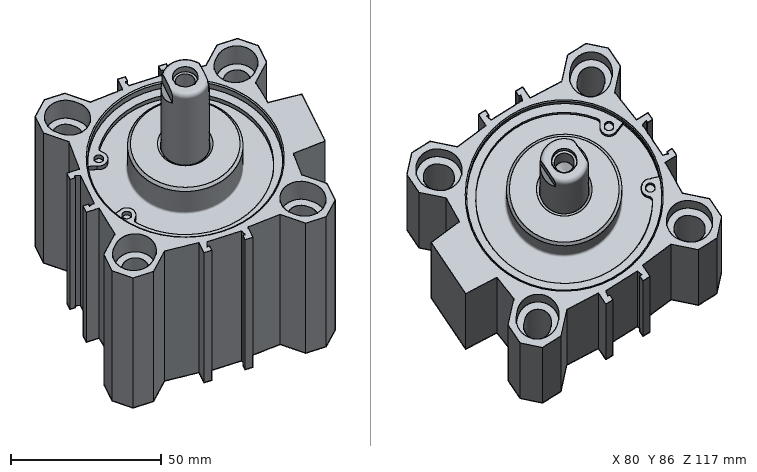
import cadquery as cq
import math

total_height = 117.0
housing_height = 72.0
housing_half_width = 40.0

lug_bevel = 5.4
lug_flat_end = 27.3
neck_depth = 6.5
wall_crown = 34.4

rail_pair_half_width = 8.8
rail_top = 39.0
rail_lip_height = 2.0
rail_lip_half_gap = 6.0
rail_undercut_half_gap = 6.8
rail_floor_half_gap = 6.2
rail_floor = 35.1

block_top = 46.0
block_top_half_width = 10.5
block_base_half_width = 11.5

mount_offset = 30.2
mount_stretch = 1.4
mount_hole_diameter = 9.0
mount_counterbore_diameter = 14.0
mount_counterbore_depth = 10.0

bore_diameter = 65.0
bore_chamfer = 0.5
groove_diameter = 68.2

ring_top = 68.8
ring_thickness = 2.0
ring_inner_diameter = 59.0
ear_x = 12.6
ear_y = -26.0
ear_radius = 3.0
ear_hole_diameter = 3.2
ear_blend_radius = 1.8

cover_thickness = 14.0
collar_diameter = 38.5
collar_top = 80.0
collar_chamfer = 1.0
collar_foot_radius = 0.8
cover_hole_diameter = 16.5

rod_diameter = 16.0
rod_edge_radius = 1.8
rod_flat_width = 13.0
rod_flat_length = 5.5
rod_hole_diameter = 6.7
rod_hole_depth = 14.0
rod_hole_tip_angle = 118.0
rod_counterbore_diameter = 8.4
rod_counterbore_depth = 2.8

ring_bottom = ring_top - ring_thickness
cover_bottom = ring_bottom - cover_thickness


def disc(diameter, bottom, top):
    """Solid cylinder on the Z axis between two heights."""
    return cq.Workplane("XY").workplane(offset=bottom).circle(diameter / 2).extrude(top - bottom)


def turned(profile):
    """Solid of revolution about the Z axis from (radius, height) points."""
    return cq.Workplane("XZ").polyline(profile).close().revolve(360, (0, 0, 0), (0, 1, 0))


def quarter_turns(point, turns):
    """Point turned clockwise about the axis by a number of right angles."""
    x, y = point
    for _ in range(turns):
        x, y = y, -x
    return x, y


def housing_core():
    """Body with four bevelled corner lugs joined by slightly crowned walls."""
    lug_bevel_start = housing_half_width - lug_bevel
    neck_u = lug_flat_end - neck_depth
    neck_v = housing_half_width - neck_depth
    corner = [
        (rail_pair_half_width, wall_crown),
        (neck_u, neck_v),
        (lug_flat_end, housing_half_width),
        (lug_bevel_start, housing_half_width),
        (housing_half_width, lug_bevel_start),
        (housing_half_width, lug_flat_end),
        (neck_v, neck_u),
        (wall_crown, rail_pair_half_width),
    ]
    outline = [quarter_turns(point, turns) for turns in range(4) for point in corner]
    return cq.Workplane("XY").polyline(outline).close().extrude(housing_height)


def rail_pair():
    """Two facing hooked rails with a floor between them, on the -Y side."""
    lip_bottom = rail_top - rail_lip_height
    half = [
        (rail_pair_half_width, -wall_crown),
        (rail_pair_half_width, -rail_top),
        (rail_lip_half_gap, -rail_top),
        (rail_lip_half_gap, -lip_bottom),
        (rail_undercut_half_gap, -lip_bottom),
        (rail_floor_half_gap, -rail_floor),
    ]
    mirrored = [(-x, y) for x, y in reversed(half)]
    return cq.Workplane("XY").polyline(half + mirrored).close().extrude(housing_height)


def port_block():
    """Slightly tapered block on the +Y side, over the full housing height."""
    outline = [
        (-block_base_half_width, groove_diameter / 2),
        (block_base_half_width, groove_diameter / 2),
        (block_top_half_width, block_top),
        (-block_top_half_width, block_top),
    ]
    return cq.Workplane("XY").polyline(outline).close().extrude(housing_height)


def mount_slot(x_side, y_side, diameter, bottom):
    """Round-ended slot along the diagonal of one lug, from a height up to the top face."""
    return (
        cq.Workplane("XY").workplane(offset=bottom)
        .center(x_side * mount_offset, y_side * mount_offset)
        .slot2D(diameter + mount_stretch, diameter, 45.0 * x_side * y_side)
        .extrude(housing_height - bottom)
    )


def housing_bore():
    """Bore with a bevelled mouth and the groove for the retaining ring."""
    radius = bore_diameter / 2
    bore = turned([
        (0, cover_bottom),
        (radius, cover_bottom),
        (radius, housing_height - bore_chamfer),
        (radius + bore_chamfer, housing_height),
        (0, housing_height),
    ])
    return bore.union(disc(groove_diameter, ring_bottom, ring_top))


def make_housing():
    body = housing_core().union(port_block())
    for angle in (-90, 0, 90):
        body = body.union(rail_pair().rotate((0, 0, 0), (0, 0, 1), angle))
    body = body.cut(housing_bore())
    counterbore_bottom = housing_height - mount_counterbore_depth
    for x_side in (-1, 1):
        for y_side in (-1, 1):
            body = body.cut(mount_slot(x_side, y_side, mount_hole_diameter, 0))
            body = body.cut(mount_slot(x_side, y_side, mount_counterbore_diameter, counterbore_bottom))
    return body


def make_ring():
    """Open ring seated in the bore groove, with a drilled ear at each end of its gap."""
    ear_distance = math.hypot(ear_x, ear_y)
    ear_angle = math.atan2(ear_x, -ear_y)
    gap_half_angle = ear_angle - math.asin(ear_radius / ear_distance)
    gap_reach = groove_diameter
    gap_corner_x = gap_reach * math.tan(gap_half_angle)
    gap = (
        cq.Workplane("XY").workplane(offset=ring_bottom)
        .polyline([(0, 0), (gap_corner_x, -gap_reach), (-gap_corner_x, -gap_reach)]).close()
        .extrude(ring_thickness)
    )
    ring = disc(groove_diameter, ring_bottom, ring_top)
    ring = ring.cut(disc(ring_inner_diameter, ring_bottom, ring_top)).cut(gap)
    for side in (-1, 1):
        centre = (side * ear_x, ear_y, 0)
        ring = ring.union(disc(2 * ear_radius, ring_bottom, ring_top).translate(centre))
        inner_corner = (side * (ear_x + ear_radius), ear_y, ring_top - ring_thickness / 2)
        nearest = cq.selectors.NearestToPointSelector(inner_corner)
        ring = ring.edges("|Z").edges(nearest).fillet(ear_blend_radius)
        ring = ring.cut(disc(ear_hole_diameter, ring_bottom, ring_top).translate(centre))
    return ring


def make_cover():
    """Flange in the bore with a raised collar, turned as one profile around the rod."""
    hole_radius = cover_hole_diameter / 2
    flange_radius = bore_diameter / 2
    collar_radius = collar_diameter / 2
    profile = (
        cq.Workplane("XZ")
        .moveTo(hole_radius, cover_bottom)
        .lineTo(flange_radius, cover_bottom)
        .lineTo(flange_radius, ring_bottom)
        .lineTo(collar_radius + collar_foot_radius, ring_bottom)
        .radiusArc((collar_radius, ring_bottom + collar_foot_radius), collar_foot_radius)
        .lineTo(collar_radius, collar_top - collar_chamfer)
        .lineTo(collar_radius - collar_chamfer, collar_top)
        .lineTo(hole_radius + collar_chamfer, collar_top)
        .lineTo(hole_radius, collar_top - collar_chamfer)
        .close()
    )
    return profile.revolve(360, (0, 0, 0), (0, 1, 0))


def rod_flat_cutter():
    """Material removed for the flat on the +Y side; its lower end runs out at 45 degrees."""
    flat_y = rod_flat_width / 2
    flat_bottom = total_height - rod_flat_length
    clear = rod_diameter - flat_y
    outline = [
        (flat_y, total_height),
        (flat_y, flat_bottom),
        (flat_y + clear, flat_bottom - clear),
        (flat_y + clear, total_height),
    ]
    return cq.Workplane("YZ").polyline(outline).close().extrude(rod_diameter, both=True)


def rod_hole():
    """Drilled hole with a conical tip and a counterbore at the rod end."""
    hole_radius = rod_hole_diameter / 2
    counterbore_radius = rod_counterbore_diameter / 2
    step = total_height - rod_counterbore_depth
    bottom = total_height - rod_hole_depth
    tip = bottom - hole_radius / math.tan(math.radians(rod_hole_tip_angle / 2))
    return turned([
        (0, total_height),
        (counterbore_radius, total_height),
        (counterbore_radius, step),
        (hole_radius, step),
        (hole_radius, bottom),
        (0, tip),
    ])


def make_rod():
    rod = disc(rod_diameter, cover_bottom, total_height).faces(">Z").edges().fillet(rod_edge_radius)
    flat = rod_flat_cutter()
    rod = rod.cut(flat).cut(flat.mirror("XZ"))
    return rod.cut(rod_hole())


housing = make_housing()
ring = make_ring()
cover = make_cover()
rod = make_rod()

result = cq.Compound.makeCompound([housing.val(), ring.val(), cover.val(), rod.val()])